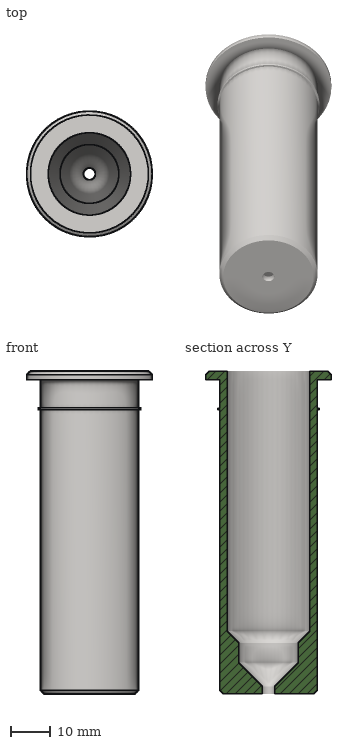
import cadquery as cq

total_height = 82.3
body_diameter = 25.0
flange_diameter = 32.0
flange_thickness = 2.3
edge_chamfer = 1.0

ring_diameter = 26.0
ring_top_depth = 9.5
ring_thickness = 0.5

bore_diameter = 21.0
well_diameter = 15.0
well_height = 5.0
drain_diameter = 3.0
drain_length = 2.0


def cylinder(diameter, bottom, height):
    """Vertical cylinder on the Z axis."""
    return cq.Workplane("XY").workplane(offset=bottom).circle(diameter / 2).extrude(height)


def make_shell():
    """Solid outer form: chamfered body, flange and ring."""
    body = cylinder(body_diameter, 0, total_height).faces("<Z").chamfer(edge_chamfer)
    flange = cylinder(flange_diameter, total_height - flange_thickness, flange_thickness)
    flange = flange.faces(">Z").chamfer(edge_chamfer)
    ring = cylinder(ring_diameter, total_height - ring_top_depth - ring_thickness, ring_thickness)
    return body.union(flange).union(ring)


def make_cavity():
    """Revolved stepped bore, open at the top and drained at the bottom."""
    bore_radius = bore_diameter / 2
    well_radius = well_diameter / 2
    drain_radius = drain_diameter / 2

    well_bottom = drain_length + well_radius - drain_radius
    well_top = well_bottom + well_height
    bore_bottom = well_top + bore_radius - well_radius

    profile = (
        cq.Workplane("XZ")
        .moveTo(0, 0)
        .lineTo(drain_radius, 0)
        .lineTo(drain_radius, drain_length)
        .lineTo(well_radius, well_bottom)
        .lineTo(well_radius, well_top)
        .lineTo(bore_radius, bore_bottom)
        .lineTo(bore_radius, total_height)
        .lineTo(0, total_height)
        .close()
    )
    return profile.revolve(360, (0, 0, 0), (0, 1, 0))


result = make_shell().cut(make_cavity())